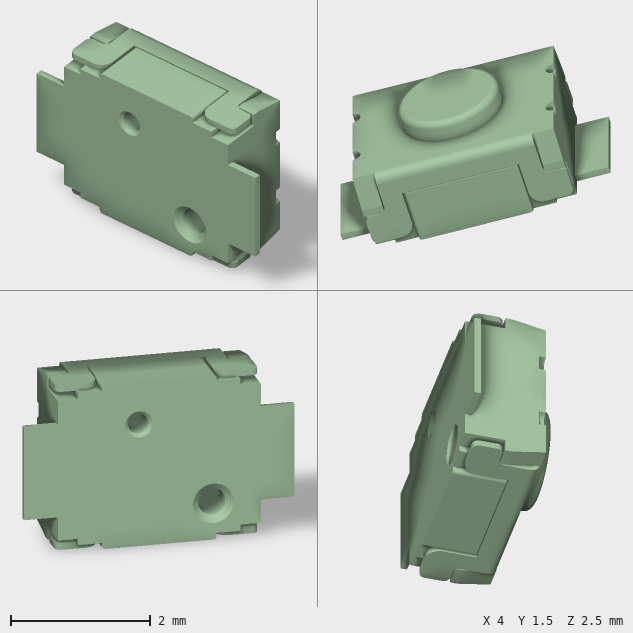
import cadquery as cq


LENGTH = 3.0
HEIGHT = 1.2
WIDTH = 2.5
SHEET = 0.095
CORE_WIDTH = WIDTH - 2 * SHEET

TERMINAL_SPAN = 4.0
TERMINAL_WIDTH = 1.41
TERMINAL_THICKNESS = 0.1

CORNER_LENGTH = 0.3
CORNER_START = LENGTH / 2 - CORNER_LENGTH
CORNER_BOTTOM = 0.6
CORNER_TAPER_START = 0.71
RELIEF_DEPTH = SHEET

GAP = 0.025
COVER_HALF_LENGTH = CORNER_START - GAP
COVER_BEND_RADIUS = 0.14
FOOT_BOTTOM = 0.125
FOOT_TOP = CORNER_BOTTOM - GAP
FOOT_CORNER_RADIUS = 0.095
FOOT_INNER_RADIUS = 0.2

PANEL_HALF_LENGTH = 0.85
PANEL_TOP = 0.8
PANEL_EDGE_RADIUS = 0.05
WINDOW_HALF_LENGTH = PANEL_HALF_LENGTH + GAP
WINDOW_TOP = PANEL_TOP + GAP

BUTTON_BASE_RADIUS = 1.5 / 2
BUTTON_TOP_RADIUS = 1.48 / 2
BUTTON_HEIGHT = 0.3
BUTTON_EDGE_RADIUS = 0.095

NOTCH_RADIUS = 0.12
NOTCH_DEPTH = 0.1
NOTCH_Z = 0.525

HOLES = (
    (-0.3, 0.6, 0.3, 0.4),
    (0.8, -0.7, 0.4, 0.6),
)
HOLE_DEPTH = 0.5


def block(length, y_low, y_high, width, x=0.0, z=0.0):
    """Box centred at x and z, between two heights."""
    size_y = y_high - y_low
    return cq.Workplane("XY").box(length, size_y, width).translate((x, y_low + size_y / 2, z))


def make_core():
    """Housing without its side details; the lid and the foot reliefs are removed."""
    core = block(LENGTH, 0, HEIGHT, CORE_WIDTH)
    core = core.cut(block(2 * COVER_HALF_LENGTH, HEIGHT - COVER_BEND_RADIUS, HEIGHT, WIDTH))
    for x_side in (-1, 1):
        for z_side in (-1, 1):
            x = x_side * (LENGTH - CORNER_LENGTH) / 2
            z = z_side * (CORE_WIDTH - RELIEF_DEPTH) / 2
            core = core.cut(block(CORNER_LENGTH, 0, CORNER_BOTTOM, RELIEF_DEPTH, x, z))
    return core


def make_corner_blocks():
    """Blocks at both ends whose outer faces lean inward towards the top."""
    profile = [
        (CORNER_BOTTOM, -WIDTH / 2),
        (CORNER_TAPER_START, -WIDTH / 2),
        (HEIGHT, -CORE_WIDTH / 2),
        (HEIGHT, CORE_WIDTH / 2),
        (CORNER_TAPER_START, WIDTH / 2),
        (CORNER_BOTTOM, WIDTH / 2),
    ]
    ends = cq.Workplane("YZ").polyline(profile).close().extrude(LENGTH / 2, both=True)
    ends = ends.cut(block(2 * CORNER_START, 0, HEIGHT, WIDTH))
    return ends.cut(block(LENGTH, 0, CORNER_TAPER_START, CORE_WIDTH))


def make_panel():
    """Raised panels on both long sides, rounded along their upright edges."""
    panel = block(2 * PANEL_HALF_LENGTH, 0, PANEL_TOP, WIDTH)
    return panel.edges("|Y").fillet(PANEL_EDGE_RADIUS)


def make_cover():
    """Lid bent over both long sides, ending in rounded feet that point outward."""
    right_half = [
        (COVER_HALF_LENGTH, HEIGHT),
        (COVER_HALF_LENGTH, FOOT_TOP),
        (LENGTH / 2, FOOT_TOP),
        (LENGTH / 2, FOOT_BOTTOM),
        (WINDOW_HALF_LENGTH, FOOT_BOTTOM),
        (WINDOW_HALF_LENGTH, WINDOW_TOP),
    ]
    left_half = [(-x, y) for x, y in reversed(right_half)]
    cover = cq.Workplane("XY").polyline(right_half + left_half).close().extrude(WIDTH / 2, both=True)
    for side in (-1, 1):
        outer_end = cq.selectors.BoxSelector(
            (side * CORNER_START, 0, -WIDTH), (side * LENGTH, HEIGHT, WIDTH))
        leg_root = cq.selectors.NearestToPointSelector((side * COVER_HALF_LENGTH, FOOT_TOP, 0))
        foot_inside = cq.selectors.NearestToPointSelector((side * WINDOW_HALF_LENGTH, FOOT_BOTTOM, 0))
        cover = cover.edges("|Z").edges(outer_end).fillet(FOOT_CORNER_RADIUS)
        cover = cover.edges("|Z").edges(leg_root).fillet(FOOT_CORNER_RADIUS)
        cover = cover.edges("|Z").edges(foot_inside).fillet(FOOT_INNER_RADIUS)
    cover = cover.faces(">Y").edges("|X").fillet(COVER_BEND_RADIUS)
    return cover.cut(block(LENGTH, 0, HEIGHT - COVER_BEND_RADIUS, CORE_WIDTH))


def make_button():
    """Round button with slight draft and a rounded rim."""
    profile = [
        (0, HEIGHT),
        (BUTTON_BASE_RADIUS, HEIGHT),
        (BUTTON_TOP_RADIUS, HEIGHT + BUTTON_HEIGHT),
        (0, HEIGHT + BUTTON_HEIGHT),
    ]
    button = cq.Workplane("XY").polyline(profile).close().revolve(360, (0, 0, 0), (0, 1, 0))
    return button.faces(">Y").edges().fillet(BUTTON_EDGE_RADIUS)


def make_end_notches():
    """Half-round cutters standing on the end faces."""
    places = [(x, z) for x in (-LENGTH / 2, LENGTH / 2) for z in (-NOTCH_Z, NOTCH_Z)]
    plane = cq.Workplane("ZX", origin=(0, HEIGHT, 0))
    return plane.pushPoints([(z, x) for x, z in places]).circle(NOTCH_RADIUS).extrude(-NOTCH_DEPTH)


def make_hole(x, z, bore_diameter, mouth_diameter):
    """Cutter for a blind hole with a 45 degree countersink."""
    bore_radius = bore_diameter / 2
    mouth_radius = mouth_diameter / 2
    profile = [
        (0, 0),
        (mouth_radius, 0),
        (bore_radius, mouth_radius - bore_radius),
        (bore_radius, HOLE_DEPTH),
        (0, HOLE_DEPTH),
    ]
    cutter = cq.Workplane("XY").polyline(profile).close().revolve(360, (0, 0, 0), (0, 1, 0))
    return cutter.translate((x, 0, z))


terminals = block(TERMINAL_SPAN, 0, TERMINAL_THICKNESS, TERMINAL_WIDTH)

result = make_core().union(make_corner_blocks()).union(make_panel()).union(make_cover())
result = result.union(terminals).union(make_button()).cut(make_end_notches())
for hole in HOLES:
    result = result.cut(make_hole(*hole))